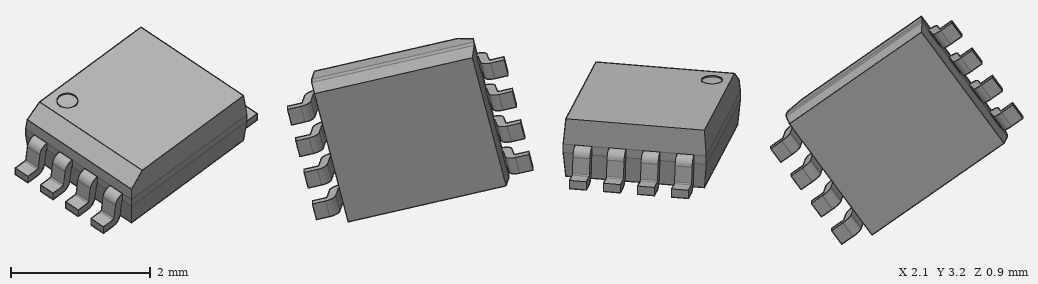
import cadquery as cq
import math

overall_length = 3.2
overall_height = 0.9
body_width = 2.1
body_length = 2.4
draft_angle = 5.0

lead_count = 4
lead_pitch = 0.5
lead_width = 0.25
lead_thickness = 0.13
lead_lean = 8.0
inner_bend_radius = 0.02
outer_bend_radius = inner_bend_radius + lead_thickness

chamfer_length = 0.255
chamfer_drop = 0.2

dimple_radius = 0.15
dimple_depth = 0.02
dimple_x = -0.745
dimple_y = -0.65

half_height = (overall_height - lead_thickness) / 2
band_top = half_height + lead_thickness
half_length = body_length / 2


def drafted_half(start_z, height):
    """Body half that narrows away from the band; a negative height grows downwards."""
    return (
        cq.Workplane("XY")
        .workplane(offset=start_z)
        .rect(body_width, body_length)
        .extrude(height, taper=draft_angle)
    )


def make_body():
    """Moulded body: straight band with a drafted half above and below."""
    band = (
        cq.Workplane("XY")
        .workplane(offset=half_height)
        .rect(body_width, body_length)
        .extrude(lead_thickness)
    )
    upper = drafted_half(band_top, half_height)
    lower = drafted_half(half_height, -half_height)
    return band.union(upper).union(lower)


def make_chamfer_cutter():
    """Wedge that bevels the top edge on the pin-one side."""
    chamfer_z = overall_height - chamfer_drop
    draft_inset = (chamfer_z - band_top) * math.tan(math.radians(draft_angle))
    start = (-half_length + chamfer_length, overall_height)
    end = (-half_length + draft_inset, chamfer_z)
    beyond = (2 * end[0] - start[0], 2 * end[1] - start[1])
    return (
        cq.Workplane("YZ")
        .polyline([start, beyond, (beyond[0], overall_height)])
        .close()
        .extrude(body_width / 2, both=True)
    )


def make_dimple_cutter():
    """Shallow round recess that marks pin one."""
    return (
        cq.Workplane("XY")
        .workplane(offset=overall_height - dimple_depth)
        .center(dimple_x, dimple_y)
        .circle(dimple_radius)
        .extrude(dimple_depth)
    )


def make_lead():
    """Gull-wing lead on the +Y side, centred on X = 0."""
    lean = math.radians(lead_lean)
    lean_tangent = math.tan(lean)

    upper_y = half_length
    upper_z = band_top - outer_bend_radius
    lower_z = outer_bend_radius
    leg_run = (upper_z - lower_z) * lean_tangent
    lower_y = upper_y + leg_run + (outer_bend_radius + inner_bend_radius) / math.cos(lean)

    def upper_point(radius, angle):
        return (upper_y + radius * math.cos(angle), upper_z + radius * math.sin(angle))

    def lower_point(radius, angle):
        return (lower_y - radius * math.cos(angle), lower_z - radius * math.sin(angle))

    flat = math.pi / 2
    middle = (flat + lean) / 2
    tip = overall_length / 2
    root = half_length - lead_thickness
    profile = (
        cq.Workplane("YZ")
        .moveTo(root, band_top)
        .lineTo(*upper_point(outer_bend_radius, flat))
        .threePointArc(upper_point(outer_bend_radius, middle), upper_point(outer_bend_radius, lean))
        .lineTo(*lower_point(inner_bend_radius, lean))
        .threePointArc(lower_point(inner_bend_radius, middle), lower_point(inner_bend_radius, flat))
        .lineTo(tip, lead_thickness)
        .lineTo(tip, 0)
        .lineTo(*lower_point(outer_bend_radius, flat))
        .threePointArc(lower_point(outer_bend_radius, middle), lower_point(outer_bend_radius, lean))
        .lineTo(*upper_point(inner_bend_radius, lean))
        .threePointArc(upper_point(inner_bend_radius, middle), upper_point(inner_bend_radius, flat))
        .lineTo(root, half_height)
        .close()
    )
    return profile.extrude(lead_width / 2, both=True)


result = make_body().cut(make_chamfer_cutter()).cut(make_dimple_cutter())

lead = make_lead()
opposite_lead = lead.mirror("XZ")
for index in range(lead_count):
    lead_x = (index - (lead_count - 1) / 2) * lead_pitch
    result = result.union(lead.translate((lead_x, 0, 0)))
    result = result.union(opposite_lead.translate((lead_x, 0, 0)))